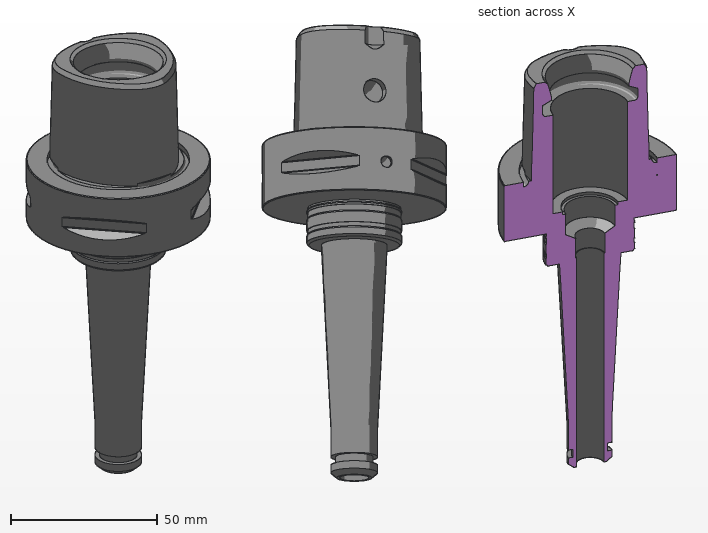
import cadquery as cq
import math

total_height = 154.0
flange_bottom = 94.0
flange_top = 116.1

flange_diameter = 63.0
flange_edge_chamfer = 0.3
face_groove_radius = 1.8
slot_height = 104.3
slot_floor_distance = 27.9
slot_floor_width = 3.4
slot_step_depth = 0.3
slot_step_width = 0.3
slot_flank_angle = 30.0
marker_hole_diameter = 4.0
marker_hole_depth = 1.2

polygon_width = 44.0
lobe_center_radius = 10.8
lobe_offset = lobe_center_radius * (1 - math.sqrt(3) / 2)
polygon_side_slope = 1 / 40
relief_top = 118.1
relief_radius = 22.5
relief_shoulder = 117.0
rim_chamfer_height = 1.7
rim_chamfer_inset = 1.0
side_hole_diameter = 8.2
side_hole_height = 131.4
side_hole_depth = 3.5
notch_diameter = side_hole_diameter
notch_axis_distance = 21.9
notch_depth = 6.3
notch_point_angle = 95.0

drill_point_angle = 118.0

mouth_diameter = 33.0
mouth_chamfer = 1.1
lip_diameter = 28.0
lip_top_depth = 6.6
lip_bottom_depth = 7.7
grip_groove_diameter = 34.5
grip_groove_full_depth = 9.2
grip_groove_floor_depth = 13.5
grip_groove_fillet = 1.1
main_bore_diameter = 27.1
main_bore_floor = 101.6
inner_bore_diameter = 17.9
counterbore_diameter = 20.0
counterbore_depth = 1.1
inner_bore_bottom = 92.4
upper_channel_diameter = 10.5
upper_channel_length = 7.7
channel_diameter = 10.0

collar_diameter = 32.5
collar_groove_diameter = 32.0
collar_bottom = 81.2
collar_chamfer = 0.8
collar_lands = [(93.3, 92.2), (90.2, 86.1), (84.7, collar_bottom)]
collar_land_lead = 0.5

shank_top_diameter = 22.5
shank_taper_top = 80.2
tip_diameter = 16.0
shank_taper_bottom = 17.1
tip_groove_diameter = 13.0
tip_groove_top = 7.2
tip_groove_bottom = 4.3
tip_chamfer_height = 1.7
tip_end_diameter = 12.0

cutter_clearance = 1.5


def revolve_profile(points):
    """Turn (radius, height) points around the Z axis."""
    return cq.Workplane("XZ").polyline(points).close().revolve(360, (0, 0, 0), (0, 1, 0))


def cone_height(radius, point_angle):
    return radius / math.tan(math.radians(point_angle / 2))


def drill_from_minus_x(diameter, height, surface_distance, depth):
    """Blind drilled hole along X, entering the -X side, with a conical end."""
    radius = diameter / 2
    tip = depth + cone_height(radius, drill_point_angle)
    profile = [(0, -cutter_clearance), (radius, -cutter_clearance), (radius, depth), (0, tip)]
    drill = revolve_profile(profile).rotate((0, 0, 0), (0, 1, 0), 90)
    return drill.translate((-surface_distance, 0, height))


def polygon_outline(height):
    """Three-lobed outline with one lobe pointing along +X."""
    tight_radius = (polygon_width - lobe_center_radius * math.sqrt(3)) / 2
    broad_radius = polygon_width - tight_radius

    def arc_point(lobe, radius, direction):
        center_angle = math.radians(120 * lobe)
        angle = math.radians(direction)
        return (
            lobe_center_radius * math.cos(center_angle) + radius * math.cos(angle),
            lobe_center_radius * math.sin(center_angle) + radius * math.sin(angle),
        )

    outline = cq.Workplane("XY").workplane(offset=height).moveTo(*arc_point(0, tight_radius, -30))
    for lobe in range(3):
        middle = 120 * lobe
        outline = outline.threePointArc(
            arc_point(lobe, tight_radius, middle), arc_point(lobe, tight_radius, middle + 30)
        )
        outline = outline.threePointArc(
            arc_point(lobe + 2, broad_radius, middle + 60), arc_point(lobe + 2, broad_radius, middle + 90)
        )
    return outline.close()


def make_coupling():
    rim_bottom = total_height - rim_chamfer_height
    side_angle = math.degrees(math.atan(polygon_side_slope))
    body = polygon_outline(relief_top).extrude(rim_bottom - relief_top, taper=side_angle)
    rim_angle = math.degrees(math.atan(rim_chamfer_inset / rim_chamfer_height))
    rim = body.faces(">Z").wires().toPending().workplane().extrude(
        rim_chamfer_height, taper=rim_angle, combine=False
    )
    lobe_radius = polygon_width / 2 + lobe_offset
    root_envelope = revolve_profile([
        (0, flange_bottom), (relief_radius, flange_bottom), (relief_radius, relief_shoulder),
        (lobe_radius, relief_top), (0, relief_top),
    ])
    root = polygon_outline(flange_bottom).extrude(relief_top - flange_bottom).intersect(root_envelope)
    return root.union(body).union(rim)


def make_flange():
    flange = cq.Workplane("XY").workplane(offset=flange_bottom).circle(flange_diameter / 2)
    flange = flange.extrude(flange_top - flange_bottom).edges().chamfer(flange_edge_chamfer)
    outer_radius = relief_radius + face_groove_radius
    arc_offset = face_groove_radius * math.sqrt(0.5)
    face_groove = (
        cq.Workplane("XZ")
        .moveTo(relief_radius, flange_top)
        .threePointArc(
            (outer_radius - arc_offset, flange_top - arc_offset),
            (outer_radius, flange_top - face_groove_radius),
        )
        .lineTo(outer_radius, flange_top)
        .close()
        .revolve(360, (0, 0, 0), (0, 1, 0))
    )
    return flange.cut(face_groove)


def make_collar_and_shank():
    land = collar_diameter / 2
    groove = collar_groove_diameter / 2
    tip = tip_diameter / 2
    tip_groove = tip_groove_diameter / 2
    points = [(0, flange_bottom), (groove, flange_bottom)]
    for land_top, land_bottom in collar_lands:
        points += [(groove, land_top), (land, land_top - collar_land_lead)]
        points += [(land, land_bottom), (groove, land_bottom)]
    points[-2:] = [(land, collar_bottom + collar_chamfer), (land - collar_chamfer, collar_bottom)]
    points += [
        (shank_top_diameter / 2, collar_bottom), (shank_top_diameter / 2, shank_taper_top),
        (tip, shank_taper_bottom), (tip, tip_groove_top),
        (tip_groove, tip_groove_top), (tip_groove, tip_groove_bottom),
        (tip, tip_groove_bottom), (tip, tip_chamfer_height),
        (tip_end_diameter / 2, 0), (0, 0),
    ]
    return revolve_profile(points)


def make_bore():
    mouth = mouth_diameter / 2
    lip = lip_diameter / 2
    grip = grip_groove_diameter / 2
    main = main_bore_diameter / 2
    inner = inner_bore_diameter / 2
    counterbore = counterbore_diameter / 2
    counterbore_bottom = main_bore_floor - counterbore_depth
    upper_channel = upper_channel_diameter / 2
    channel = channel_diameter / 2
    cone_bottom = inner_bore_bottom - cone_height(inner - upper_channel, drill_point_angle)
    channel_step = cone_bottom - upper_channel_length
    groove_floor = total_height - grip_groove_floor_depth
    fillet_offset = grip_groove_fillet * (1 - math.sqrt(0.5))
    return (
        cq.Workplane("XZ")
        .moveTo(0, total_height)
        .lineTo(mouth, total_height)
        .lineTo(mouth - mouth_chamfer, total_height - mouth_chamfer)
        .lineTo(lip, total_height - lip_top_depth)
        .lineTo(lip, total_height - lip_bottom_depth)
        .lineTo(grip, total_height - grip_groove_full_depth)
        .lineTo(grip, groove_floor + grip_groove_fillet)
        .threePointArc(
            (grip - fillet_offset, groove_floor + fillet_offset), (grip - grip_groove_fillet, groove_floor)
        )
        .lineTo(main, groove_floor)
        .lineTo(main, main_bore_floor)
        .lineTo(counterbore, main_bore_floor)
        .lineTo(counterbore, counterbore_bottom)
        .lineTo(inner, counterbore_bottom)
        .lineTo(inner, inner_bore_bottom)
        .lineTo(upper_channel, cone_bottom)
        .lineTo(upper_channel, channel_step)
        .lineTo(channel, channel_step)
        .lineTo(channel, 0)
        .lineTo(0, 0)
        .close()
        .revolve(360, (0, 0, 0), (0, 1, 0))
    )


def make_gripper_slots():
    """Four V-flanked slots across the flange's rim, on its diagonals."""
    rim = flange_diameter / 2 + cutter_clearance
    floor_half = slot_floor_width / 2
    flank_start = slot_floor_distance + slot_step_depth
    flank_half = floor_half + slot_step_width
    mouth_half = flank_half + (rim - flank_start) * math.tan(math.radians(slot_flank_angle))
    section = [
        (slot_floor_distance, slot_height - floor_half), (flank_start, slot_height - floor_half),
        (flank_start, slot_height - flank_half), (rim, slot_height - mouth_half),
        (rim, slot_height + mouth_half), (flank_start, slot_height + flank_half),
        (flank_start, slot_height + floor_half), (slot_floor_distance, slot_height + floor_half),
    ]
    slot = cq.Workplane("XZ").polyline(section).close().extrude(flange_diameter / 2, both=True)
    slots = cq.Workplane("XY")
    for quarter in range(4):
        slots = slots.add(slot.rotate((0, 0, 0), (0, 0, 1), 45 + 90 * quarter))
    return slots.combine()


def make_notch():
    """Cone-ended scoop down the coupling's -X side, open at the end face."""
    radius = notch_diameter / 2
    bottom = total_height - notch_depth
    scoop = revolve_profile([
        (0, total_height), (radius, total_height), (radius, bottom),
        (0, bottom - cone_height(radius, notch_point_angle)),
    ])
    return scoop.translate((-notch_axis_distance, 0, 0))


flank_distance = polygon_width / 2 - lobe_offset
flank_at_hole = flank_distance - (side_hole_height - relief_top) * polygon_side_slope

side_hole = drill_from_minus_x(side_hole_diameter, side_hole_height, flank_at_hole, side_hole_depth)
marker_hole = drill_from_minus_x(marker_hole_diameter, slot_height, flange_diameter / 2, marker_hole_depth)

result = make_flange().union(make_coupling()).union(make_collar_and_shank())
result = result.cut(make_bore()).cut(make_gripper_slots())
result = result.cut(side_hole).cut(marker_hole).cut(make_notch())